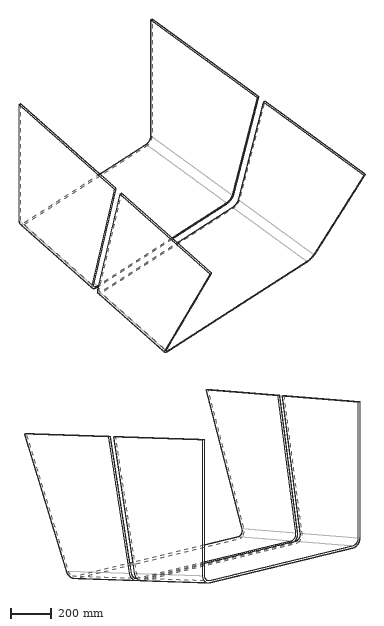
import cadquery as cq
import math

heading = 6.65
pitch = 13.35
wall_flare = 3.4
near_width = 977.0
near_height = 759.0
floor_length = 1022.0
sheet = 12.0
inner_bend = 34.0
panel_gap = 40.0
margin = 148.0

slope = math.tan(math.radians(pitch))
flare = math.tan(math.radians(wall_flare))

top_length = floor_length + near_height * math.sin(math.radians(2 * pitch))


def on_bottom(x):
    """Point of the underside line at distance x from the near end."""
    return (x, -slope * x)


def on_top(x):
    """Point of the top edge line at distance x from the near end."""
    return (x, near_height - slope * x)


def trough_block(inset, bend_radius):
    """Solid between the walls and above the floor, inset from the outer faces."""
    start, end = -margin, top_length + margin
    wall_inset = inset / math.cos(math.radians(wall_flare))
    floor_inset = inset / math.cos(math.radians(pitch))

    def half_width(x):
        return near_width / 2 + flare * x - wall_inset

    plan = [
        (start, -half_width(start)),
        (end, -half_width(end)),
        (end, half_width(end)),
        (start, half_width(start)),
    ]
    floor_start = floor_inset - slope * start
    floor_end = floor_inset - slope * end
    block_top = near_height + margin
    side = [(start, floor_start), (end, floor_end), (end, block_top), (start, block_top)]
    block = cq.Workplane("XY").workplane(offset=floor_end).polyline(plan).close()
    block = block.extrude(block_top - floor_end)
    block = block.intersect(extrude_side(side))
    floor = block.faces("<Z")
    return floor.edges("not |Y").fillet(bend_radius)


def extrude_side(profile):
    """Extrude a lengthwise XZ profile across the full width of the trough."""
    return cq.Workplane("XZ").polyline(profile).close().extrude(2 * near_width, both=True)


def make_panel(profile):
    """Cut one panel from the bent sheet and turn it to its heading."""
    panel = trough_sheet.intersect(extrude_side(profile))
    return panel.rotate((0, 0, 0), (0, 0, 1), heading)


trough_sheet = trough_block(0, inner_bend + sheet).cut(trough_block(sheet, inner_bend))

gap_run = panel_gap * math.cos(math.radians(pitch))
near_panel = make_panel([
    on_bottom(0),
    on_bottom(floor_length / 2),
    on_top(top_length / 2),
    on_top(0),
])
far_panel = make_panel([
    on_bottom(floor_length / 2 + gap_run),
    on_bottom(floor_length),
    on_top(top_length),
    on_top(top_length / 2 + gap_run),
])

result = cq.Compound.makeCompound([near_panel.val(), far_panel.val()])